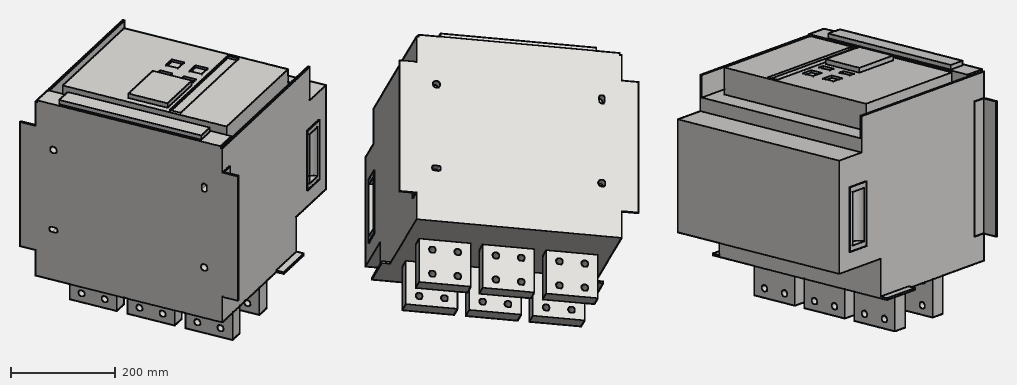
import cadquery as cq

SHEET = 4.0
TRIM = 2.0

BODY_WIDTH = 404.0
BODY_BOTTOM = 90.0
SIDE_TOP = 471.0
LOWER_BACK = 308.5
UPPER_BACK = 365.0
BLOCK_BACK = 432.0
BLOCK_BOTTOM = 170.0
BLOCK_TOP = 398.0
WELL_DEPTH = 45.0
DECK_TOP = SIDE_TOP - WELL_DEPTH
COVER_DEPTH = 45.0
COVER_TOP = SIDE_TOP + SHEET
INNER_WIDTH = BODY_WIDTH - 2 * SHEET

PANEL_WIDTH, PANEL_FRONT, PANEL_BACK, PANEL_TOP = 354.0, 66.0, 322.5, 480.0
DISPLAY_WIDTH, DISPLAY_FRONT, DISPLAY_BACK, DISPLAY_TOP = 84.5, 80.0, 181.5, 490.0
STRIP_WIDTH, STRIP_FRONT, STRIP_BACK, STRIP_TOP = 306.5, 6.0, 41.0, 484.0

RECESS_DEPTH = 5.0
BUTTON_X = 25.5
BUTTON_WIDTH = 26.5
BUTTON_Y, BUTTON_LENGTH = 241.5, 26.0
WINDOW_Y, WINDOW_LENGTH = 199.5, 12.2
SLOT_X, SLOT_Y = 61.5, 195.0
SLOT_WIDTH, SLOT_LENGTH = 24.0, 242.0

GRIP_Y, GRIP_Z = 377.0, 272.0
GRIP_FRAME_DEPTH, GRIP_FRAME_HEIGHT = 50.0, 130.5
GRIP_DIAMETER, GRIP_HEIGHT = 34.5, 108.0

BRACKET_SPAN = 470.0
BRACKET_LEG = 29.5
BRACKET_BOTTOM, BRACKET_HEIGHT = 146.0, 272.0
FOOT_SPAN = 436.0
FOOT_LENGTH = 84.5

TERMINAL_MIDDLE = 0.5
TERMINAL_PITCH = 125.0
TERMINAL_WIDTH = 102.0
TERMINAL_ROWS = ((91.5, 30.5), (203.5, 31.5))
BOLT_DIAMETER = 13.0
BOLT_SPACING = 50.0
BOLT_LOWEST = 19.5

MOUNT_X = 162.5
MOUNT_LOW, MOUNT_HIGH = 200.5, 375.0
MOUNT_DIAMETER = 14.0
MOUNT_SLOT_LENGTH, MOUNT_SLOT_WIDTH = 17.5, 11.0
MOUNT_DEPTH = 19.5


def block(x, y, z):
    """Box between the given (low, high) pairs along X, Y and Z."""
    size = (x[1] - x[0], y[1] - y[0], z[1] - z[0])
    return cq.Workplane("XY").box(*size, centered=False).translate((x[0], y[0], z[0]))


def centred_block(width, y, z):
    """Box centred on X = 0."""
    return block((-width / 2, width / 2), y, z)


def both_sides(shape):
    """The shape joined with its mirror image across X = 0."""
    return shape.union(shape.mirror("YZ"))


def make_body():
    profile = [
        (0, BODY_BOTTOM),
        (LOWER_BACK, BODY_BOTTOM),
        (LOWER_BACK, BLOCK_BOTTOM),
        (BLOCK_BACK, BLOCK_BOTTOM),
        (BLOCK_BACK, BLOCK_TOP),
        (UPPER_BACK, BLOCK_TOP),
        (UPPER_BACK, SIDE_TOP),
        (0, SIDE_TOP),
    ]
    body = cq.Workplane("YZ").polyline(profile).close().extrude(BODY_WIDTH / 2, both=True)
    well = centred_block(INNER_WIDTH, (COVER_DEPTH, UPPER_BACK), (DECK_TOP, SIDE_TOP))
    cover = centred_block(INNER_WIDTH, (0, COVER_DEPTH), (DECK_TOP, COVER_TOP))
    strip = centred_block(STRIP_WIDTH, (STRIP_FRONT, STRIP_BACK), (COVER_TOP, STRIP_TOP))
    return body.cut(well).union(cover).union(strip)


def panel_recess(x, y, width, length):
    return block(
        (x - width / 2, x + width / 2),
        (y - length / 2, y + length / 2),
        (PANEL_TOP - RECESS_DEPTH, PANEL_TOP),
    )


def make_panel():
    panel = centred_block(PANEL_WIDTH, (PANEL_FRONT, PANEL_BACK), (DECK_TOP, PANEL_TOP))
    for x in (-BUTTON_X, BUTTON_X):
        panel = panel.cut(panel_recess(x, BUTTON_Y, BUTTON_WIDTH, BUTTON_LENGTH))
        panel = panel.cut(panel_recess(x, WINDOW_Y, BUTTON_WIDTH, WINDOW_LENGTH))
    panel = panel.cut(panel_recess(SLOT_X, SLOT_Y, SLOT_WIDTH, SLOT_LENGTH))
    display = centred_block(DISPLAY_WIDTH, (DISPLAY_FRONT, DISPLAY_BACK), (PANEL_TOP, DISPLAY_TOP))
    return panel.union(display)


def make_grip_frames():
    frame_width = BODY_WIDTH + 2 * TRIM
    frame = cq.Workplane("XY").box(frame_width, GRIP_FRAME_DEPTH, GRIP_FRAME_HEIGHT)
    return frame.translate((0, GRIP_Y, GRIP_Z))


def make_grip_hollows():
    """Half-round hollows with their axes on the outer faces of the grip frames."""
    hollow = cq.Workplane("XY").cylinder(GRIP_HEIGHT, GRIP_DIAMETER / 2)
    return both_sides(hollow.translate((-BODY_WIDTH / 2 - TRIM, GRIP_Y, GRIP_Z)))


def make_brackets():
    z = (BRACKET_BOTTOM, BRACKET_BOTTOM + BRACKET_HEIGHT)
    leg = centred_block(BODY_WIDTH + 2 * TRIM, (0, BRACKET_LEG), z)
    flange = centred_block(BRACKET_SPAN, (0, SHEET), z)
    return leg.union(flange)


def make_feet():
    y = (LOWER_BACK - FOOT_LENGTH, LOWER_BACK)
    return centred_block(FOOT_SPAN, y, (BODY_BOTTOM, BODY_BOTTOM + SHEET))


def make_terminal(x, front, thickness):
    half = TERMINAL_WIDTH / 2
    bar = block((x - half, x + half), (front, front + thickness), (0, BODY_BOTTOM))
    bolts = (
        cq.Workplane("XZ", origin=(x, 0, BOLT_LOWEST + BOLT_SPACING / 2))
        .rarray(BOLT_SPACING, BOLT_SPACING, 2, 2)
        .circle(BOLT_DIAMETER / 2)
        .extrude(-BLOCK_BACK)
    )
    return bar.cut(bolts)


def make_mounting_holes():
    front = cq.Workplane("XZ")
    rounds = front.pushPoints([(-MOUNT_X, MOUNT_HIGH), (MOUNT_X, MOUNT_LOW)])
    holes = rounds.circle(MOUNT_DIAMETER / 2).extrude(-MOUNT_DEPTH)
    for x, z, angle in ((-MOUNT_X, MOUNT_LOW, 0), (MOUNT_X, MOUNT_HIGH, 90)):
        slot = front.center(x, z).slot2D(MOUNT_SLOT_LENGTH, MOUNT_SLOT_WIDTH, angle)
        holes = holes.union(slot.extrude(-MOUNT_DEPTH))
    return holes


result = make_body().union(make_panel()).union(make_grip_frames())
result = result.union(make_brackets()).union(make_feet())
for column in (-1, 0, 1):
    column_x = TERMINAL_MIDDLE + column * TERMINAL_PITCH
    for row_front, row_thickness in TERMINAL_ROWS:
        result = result.union(make_terminal(column_x, row_front, row_thickness))
result = result.cut(make_grip_hollows()).cut(make_mounting_holes())